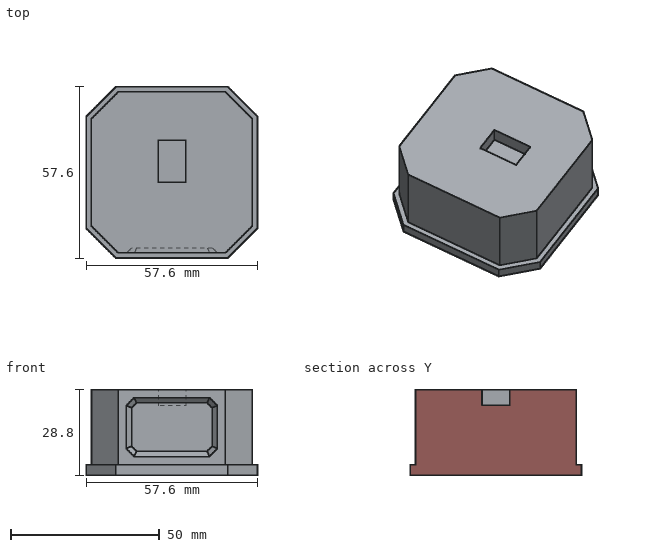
import cadquery as cq
import math

body_width = 54.0
total_height = 28.8
flange_height = 3.6
flange_overhang = 1.8
body_corner_cut = 9.0

pocket_margin = 2.7
pocket_corner_cut = 2.7
pocket_depth = 1.8
pocket_bevel = 1.8

socket_width = 9.2
socket_length = 14.1
socket_center_y = 3.7
socket_depth = 5.2

body_height = total_height - flange_height
flange_width = body_width + 2 * flange_overhang
front_face_width = body_width - 2 * body_corner_cut
pocket_width = front_face_width - 2 * pocket_margin
pocket_height = body_height - 2 * pocket_margin
pocket_center_z = flange_height + body_height / 2


def offset_corner_cut(corner_cut, offset):
    """Leg of a 45 degree corner cut after moving every side outward by offset."""
    return corner_cut + offset * (2 - math.sqrt(2))


def cut_rectangle_points(width, height, corner_cut):
    """Corners of a centred rectangle with 45 degree cuts at its four corners."""
    half_width = width / 2
    half_height = height / 2
    inner_x = half_width - corner_cut
    inner_y = half_height - corner_cut
    return [
        (-inner_x, -half_height),
        (inner_x, -half_height),
        (half_width, -inner_y),
        (half_width, inner_y),
        (inner_x, half_height),
        (-inner_x, half_height),
        (-half_width, inner_y),
        (-half_width, -inner_y),
    ]


def make_flange():
    corner_cut = offset_corner_cut(body_corner_cut, flange_overhang)
    outline = cut_rectangle_points(flange_width, flange_width, corner_cut)
    return cq.Workplane("XY").polyline(outline).close().extrude(flange_height)


def make_body():
    outline = cut_rectangle_points(body_width, body_width, body_corner_cut)
    return cq.Workplane("XY").polyline(outline).close().extrude(total_height)


def make_pocket():
    """Tapered cutter narrowing from the -Y face to the pocket floor."""
    opening = cut_rectangle_points(pocket_width, pocket_height, pocket_corner_cut)
    floor = cut_rectangle_points(
        pocket_width - 2 * pocket_bevel,
        pocket_height - 2 * pocket_bevel,
        offset_corner_cut(pocket_corner_cut, -pocket_bevel),
    )
    return (
        cq.Workplane("XZ", origin=(0, -body_width / 2, pocket_center_z))
        .polyline(opening)
        .close()
        .workplane(offset=-pocket_depth)
        .polyline(floor)
        .close()
        .loft(ruled=True)
    )


def make_socket():
    return (
        cq.Workplane("XY", origin=(0, socket_center_y, total_height))
        .rect(socket_width, socket_length)
        .extrude(-socket_depth)
    )


result = make_flange().union(make_body()).cut(make_pocket()).cut(make_socket())